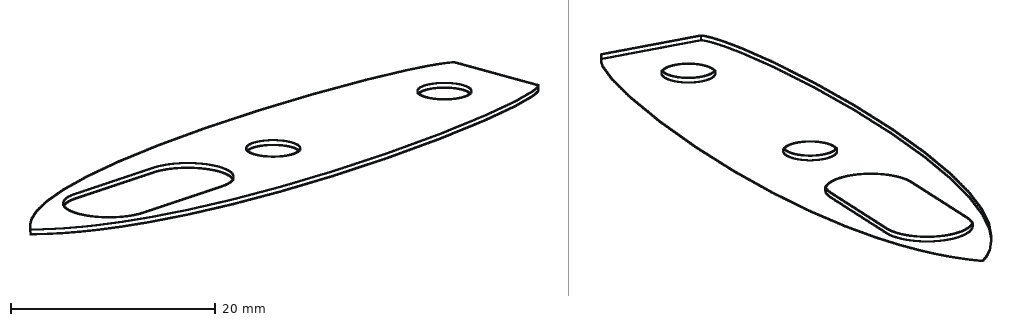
import cadquery as cq

length = 68.03
thickness = 0.5
blunt_end_width = 11.1

tip_control = (13.74, 12.6)
blunt_end_control = (9.42, 63.7)

hole_diameter = 5.3
hole_spacing = 25.0
end_hole_setback = 7.6
end_hole_y = length - end_hole_setback
inner_hole_y = end_hole_y - hole_spacing

slot_width = 9.0
slot_length = 20.5
slot_tip_gap = 6.95
slot_center_y = slot_tip_gap + slot_length / 2


def mirrored(point):
    """Reflect a point across the centre line X = 0."""
    return (-point[0], point[1])


def make_blank():
    """Pointed plate with two mirrored Bezier sides and a straight blunt end."""
    tip = (0, 0)
    corner = (blunt_end_width / 2, length)
    right_side = [tip, tip_control, blunt_end_control, corner]
    left_side = [mirrored(point) for point in reversed(right_side)]
    return (
        cq.Workplane("XY")
        .bezier(right_side)
        .lineTo(*mirrored(corner))
        .bezier(left_side)
        .close()
        .extrude(thickness)
    )


def make_holes():
    """Cutters for the two round through holes."""
    return (
        cq.Workplane("XY")
        .pushPoints([(0, end_hole_y), (0, inner_hole_y)])
        .circle(hole_diameter / 2)
        .extrude(thickness)
    )


def make_slot():
    """Cutter for the through slot, long axis along Y."""
    return (
        cq.Workplane("XY")
        .center(0, slot_center_y)
        .slot2D(slot_length, slot_width, angle=90)
        .extrude(thickness)
    )


result = make_blank().cut(make_holes()).cut(make_slot())